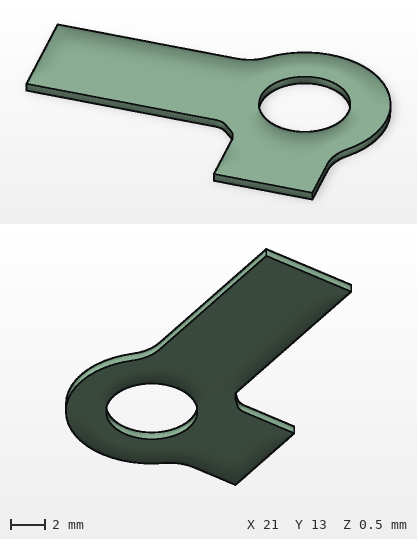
import cadquery as cq
import math

total_length = 21.0
total_width = 13.0
thickness = 0.5
disc_radius = 5.0
hole_diameter = 5.3
tab_width = 6.0
outer_fillet = 2.5
inner_fillet = 1.0

half_tab = tab_width / 2
long_reach = total_length - disc_radius
short_reach = total_width - disc_radius


def fillet_points(radius):
    """Start, middle and end of a fillet from a tab edge to the disc.

    Each point is (distance along the tab, distance across the tab),
    measured from the disc centre.
    """
    center_distance = disc_radius + radius
    across = half_tab + radius
    along = math.sqrt(center_distance**2 - across**2)
    disc_share = disc_radius / center_distance
    start = (along, half_tab)
    end = (along * disc_share, across * disc_share)

    edge_angle = -math.pi / 2
    disc_angle = math.atan2(-across, -along)
    middle_angle = (edge_angle + disc_angle) / 2
    middle = (
        along + radius * math.cos(middle_angle),
        across + radius * math.sin(middle_angle),
    )
    return start, middle, end


def on_long_tab(point, side):
    along, across = point
    return (-along, side * across)


def on_short_tab(point, side):
    along, across = point
    return (side * across, -along)


outer_start, outer_middle, outer_end = fillet_points(outer_fillet)
inner_start, inner_middle, inner_end = fillet_points(inner_fillet)
disc_diagonal = disc_radius / math.sqrt(2)

outline = (
    cq.Workplane("XY")
    .moveTo(-long_reach, -half_tab)
    .lineTo(-long_reach, half_tab)
    .lineTo(*on_long_tab(outer_start, 1))
    .threePointArc(on_long_tab(outer_middle, 1), on_long_tab(outer_end, 1))
    .threePointArc((disc_diagonal, disc_diagonal), on_short_tab(outer_end, 1))
    .threePointArc(on_short_tab(outer_middle, 1), on_short_tab(outer_start, 1))
    .lineTo(half_tab, -short_reach)
    .lineTo(-half_tab, -short_reach)
    .lineTo(*on_short_tab(inner_start, -1))
    .threePointArc(on_short_tab(inner_middle, -1), on_short_tab(inner_end, -1))
    .threePointArc((-disc_diagonal, -disc_diagonal), on_long_tab(inner_end, -1))
    .threePointArc(on_long_tab(inner_middle, -1), on_long_tab(inner_start, -1))
    .close()
)

plate = outline.extrude(thickness)
hole = cq.Workplane("XY").circle(hole_diameter / 2).extrude(thickness)
result = plate.cut(hole)